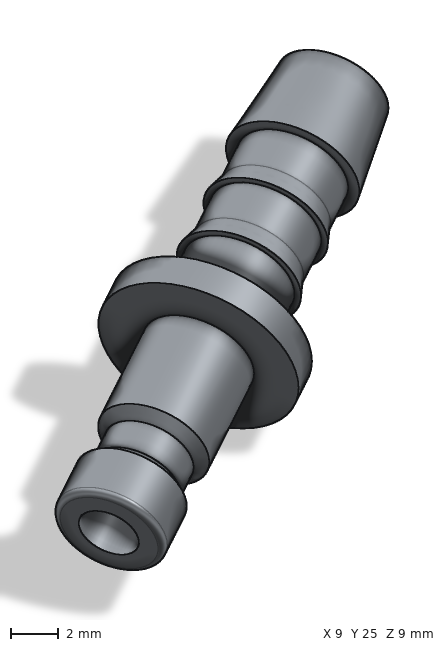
import cadquery as cq

total_length = 25.0
body_radius = 2.5
bore_radius = 1.35
tip_fillet = 0.3

groove_radius = 2.0
groove_start = 2.5
groove_end = 5.0
groove_slope = 0.5

flange_radius = 4.5
flange_start = 10.0
flange_width = 1.5

small_barb_radius = 2.8
small_barb_length = 1.0
small_barb_starts = (14.5, 17.5)
end_barb_radius = 3.0
end_barb_length = 4.5


def ring(start, length, radius, end_radius):
    """Solid cone or cylinder around the Y axis."""
    return (
        cq.Workplane("XY")
        .moveTo(0, start)
        .lineTo(radius, start)
        .lineTo(end_radius, start + length)
        .lineTo(0, start + length)
        .close()
        .revolve(360, (0, 0, 0), (0, 1, 0))
    )


def groove_cutter():
    """Ring of material removed to form the locking groove."""
    return (
        cq.Workplane("XY")
        .moveTo(body_radius, groove_start)
        .lineTo(groove_radius, groove_start + groove_slope)
        .lineTo(groove_radius, groove_end - groove_slope)
        .lineTo(body_radius, groove_end)
        .close()
        .revolve(360, (0, 0, 0), (0, 1, 0))
    )


stem = ring(0, total_length, body_radius, body_radius)
stem = stem.faces("<Y").edges().fillet(tip_fillet)
stem = stem.cut(groove_cutter())

result = stem.union(ring(flange_start, flange_width, flange_radius, flange_radius))
for barb_start in small_barb_starts:
    result = result.union(ring(barb_start, small_barb_length, small_barb_radius, body_radius))
end_barb_start = total_length - end_barb_length
result = result.union(ring(end_barb_start, end_barb_length, end_barb_radius, body_radius))

result = result.cut(ring(0, total_length, bore_radius, bore_radius))